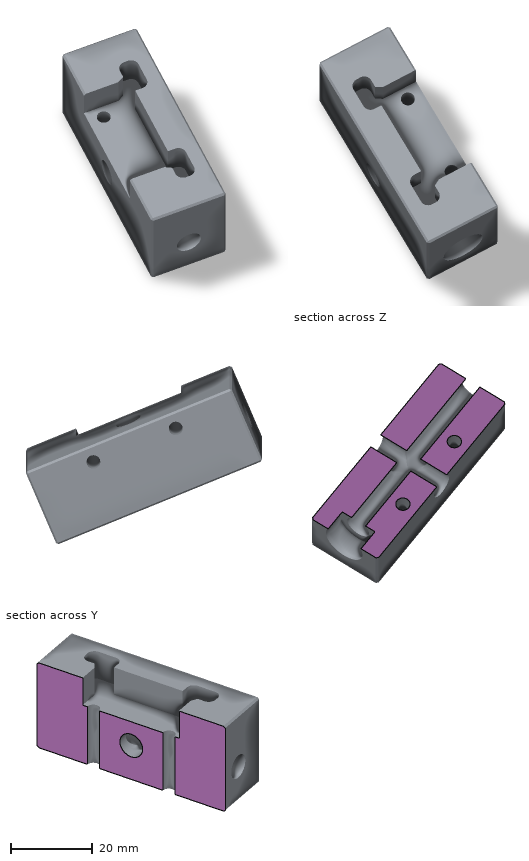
import cadquery as cq

length = 55.0
width = 20.0
height = 25.0
edge_chamfer = 0.5

pocket_depth = 8.0
mouth_half_width = 14.0
neck_half_width = 15.0
lobe_outer_half_width = 19.0
lobe_inner_half_width = 10.0
lobe_radius = 2.0
lobe_back_gap = 4.0
center_wall_gap = 8.0
lobe_front_gap = 9.0
neck_gap = 10.7

mount_hole_diameter = 3.4
mount_hole_half_spacing = 11.0
mount_hole_front_gap = 4.0

bore_diameter = 6.5
bore_height = 10.0
counterbore_diameter = 11.0
counterbore_depth = 6.0

front_y = -width / 2
back_y = width / 2
pocket_floor = height - pocket_depth


def make_block():
    block = cq.Workplane("XY").box(length, width, height, centered=(True, True, False))
    return block.edges().chamfer(edge_chamfer)


def make_pocket():
    """Right half of the T-slot outline, mirrored about the YZ plane."""
    half_outline = [
        (0, front_y),
        (mouth_half_width, front_y),
        (mouth_half_width, back_y - neck_gap),
        (neck_half_width, back_y - lobe_front_gap),
        (lobe_outer_half_width, back_y - lobe_front_gap),
        (lobe_outer_half_width, back_y - lobe_back_gap),
        (lobe_inner_half_width, back_y - lobe_back_gap),
        (lobe_inner_half_width, back_y - center_wall_gap),
        (0, back_y - center_wall_gap),
    ]
    half = cq.Workplane("XY").workplane(offset=pocket_floor)
    half = half.polyline(half_outline).close().extrude(pocket_depth)
    half = half.edges("(|Z and >X) or (|Z and >Y)").fillet(lobe_radius)
    return half.union(half.mirror("YZ"))


def make_mounting_holes():
    hole_y = front_y + mount_hole_front_gap
    positions = [(side * mount_hole_half_spacing, hole_y) for side in (-1, 1)]
    return cq.Workplane("XY").pushPoints(positions).circle(mount_hole_diameter / 2).extrude(height)


def make_cross_bore():
    plane = cq.Workplane("XZ").center(0, bore_height)
    return plane.circle(bore_diameter / 2).extrude(width / 2, both=True)


def make_long_bore():
    plane = cq.Workplane("YZ", origin=(-length / 2, 0, bore_height))
    bore = plane.circle(bore_diameter / 2).extrude(length)
    return bore.union(plane.circle(counterbore_diameter / 2).extrude(counterbore_depth))


result = make_block()
for cutter in (make_pocket(), make_mounting_holes(), make_cross_bore(), make_long_bore()):
    result = result.cut(cutter)